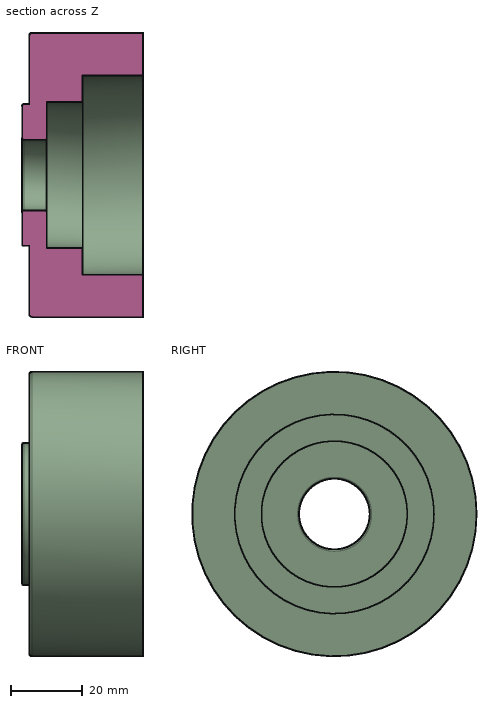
import cadquery as cq

total_width = 34.0
rim_diameter = 80.0
rim_fillet = 0.8

boss_diameter = 40.0
boss_height = 2.0
boss_fillet = 0.5

hole_diameter = 19.8
hole_fillet = 0.5

inner_recess_diameter = 41.0
inner_recess_floor = 7.0
outer_recess_diameter = 56.0
outer_recess_floor = 17.0

smallest_circle = cq.selectors.RadiusNthSelector(0)
largest_circle = cq.selectors.RadiusNthSelector(-1)


def disc(diameter, x_start, x_end):
    """Cylinder on the wheel axis between two X positions."""
    plane = cq.Workplane("YZ", origin=(x_start, 0, 0))
    return plane.circle(diameter / 2).extrude(x_end - x_start)


def make_body():
    """Sharp-edged wheel with a boss on its -X face."""
    rim = disc(rim_diameter, boss_height, total_width)
    boss = disc(boss_diameter, 0, boss_height)
    return rim.union(boss)


def cut_bores(body):
    """Stepped recess from the +X face and the shaft hole through its floor."""
    body = body.cut(disc(outer_recess_diameter, outer_recess_floor, total_width))
    body = body.cut(disc(inner_recess_diameter, inner_recess_floor, total_width))
    return body.cut(disc(hole_diameter, 0, total_width))


def round_edges(body):
    """Round both ends of the shaft hole and the -X edges of rim and boss."""
    body = body.edges("%CIRCLE").edges(smallest_circle).fillet(hole_fillet)
    body = body.edges("%CIRCLE").edges(largest_circle).edges("<X").fillet(rim_fillet)
    return body.faces("<X").edges(largest_circle).fillet(boss_fillet)


result = round_edges(cut_bores(make_body()))